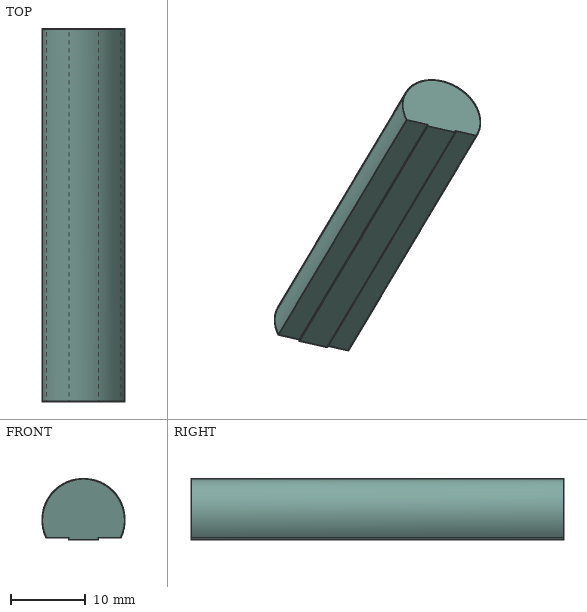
import cadquery as cq

length = 50.0
radius = 5.55
flat_depth = 2.4
strip_width = 4.0
strip_height = 0.25

rod = cq.Workplane("XZ").circle(radius).extrude(length / 2, both=True)
body_height = radius + flat_depth
envelope = cq.Workplane("XY").box(2 * radius, length, body_height, centered=(True, True, False))
body = rod.intersect(envelope.translate((0, 0, -flat_depth)))

strip = cq.Workplane("XY").box(
    strip_width, length, flat_depth + strip_height, centered=(True, True, False)
).translate((0, 0, -flat_depth - strip_height))

result = body.union(strip)